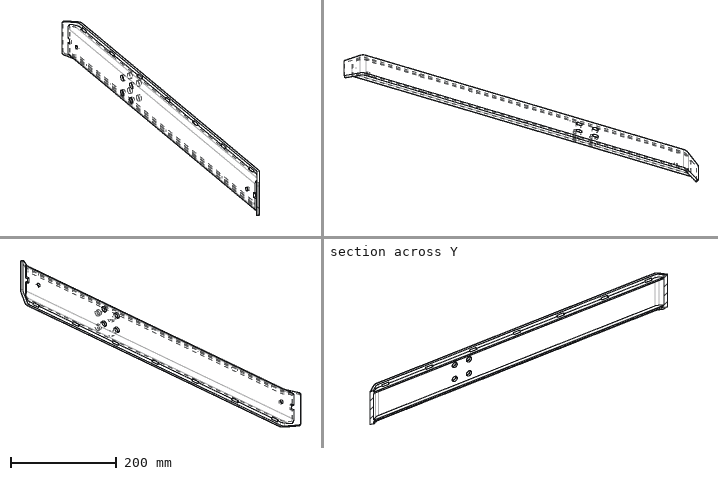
import cadquery as cq
import math

length = 705.0
depth = 25.0
height = 84.0

plate_thickness = 4.85
flap_slope = 2 / 3
bend_inner_radius = 15.0
flap_tip_height = 70.5
flap_corner_radius = 5.0

channel_length = 672.5
channel_height = 70.0
channel_rise = 15.0
channel_wall = 4.0
channel_corner_radius = 8.0
notch_depth = 5.5
notch_height = 10.5

bolt_hole_diameter = 11.0
bolt_spacing = 32.5
bolt_group_x = -125.0
vent_hole_diameter = 7.0
vent_hole_x = 306.0

bead_length = 15.0
bead_leg = 3.0
bead_pitch = 100.0
bead_count = 7

back_y = depth / 2
plate_front_y = back_y - plate_thickness
channel_front_y = plate_front_y - channel_rise
flap_angle = math.atan(flap_slope)
tip_back_x = length / 2
tip_front_y = -depth / 2
tip_back_y = tip_front_y + plate_thickness * math.cos(flap_angle)
tip_front_x = tip_back_x - plate_thickness * math.sin(flap_angle)
bend_back_x = tip_back_x - (back_y - tip_back_y) / flap_slope
bend_front_x = tip_front_x - (plate_front_y - tip_front_y) / flap_slope
tip_middle_x = (tip_back_x + tip_front_x) / 2
tip_middle_y = (tip_back_y + tip_front_y) / 2

match_distance = 0.35


def z_prism(points, prism_height):
    """Prism over an XY outline, centred on Z = 0."""
    return cq.Workplane("XY").polyline(points).close().extrude(prism_height / 2, both=True)


def make_plate():
    """Bent strip whose end flaps lean toward -Y."""
    right_side = [
        (bend_back_x, back_y),
        (tip_back_x, tip_back_y),
        (tip_front_x, tip_front_y),
        (bend_front_x, plate_front_y),
    ]
    left_side = [(-x, y) for x, y in reversed(right_side)]
    plate = z_prism(right_side + left_side, height)

    def bend_edges(x, y):
        edges = plate.edges("|Z").vals()
        return [
            e
            for e in edges
            if math.hypot(abs(e.Center().x) - x, e.Center().y - y) < match_distance
        ]

    inner_bends = bend_edges(bend_front_x, plate_front_y)
    plate = plate.newObject(inner_bends).fillet(bend_inner_radius)
    outer_bends = bend_edges(bend_back_x, back_y)
    plate = plate.newObject(outer_bends).fillet(bend_inner_radius + plate_thickness)

    taper_right = [
        (bend_back_x, height / 2),
        (tip_back_x, flap_tip_height / 2),
        (tip_back_x, -flap_tip_height / 2),
        (bend_back_x, -height / 2),
    ]
    taper_left = [(-x, z) for x, z in reversed(taper_right)]
    outline = cq.Workplane("XZ").polyline(taper_right + taper_left).close().extrude(depth, both=True)
    plate = plate.intersect(outline)
    tip_corners = [
        e
        for e in plate.edges().vals()
        if abs(abs(e.Center().x) - tip_middle_x) < match_distance
        and abs(e.Center().z) > flap_tip_height / 2 - match_distance
    ]
    return plate.newObject(tip_corners).fillet(flap_corner_radius)


def make_channel():
    """Open-backed channel whose ends follow the flaps, with a notch at each end of its face."""
    seat_y = back_y - plate_thickness / 2
    seat_bend_x = (bend_back_x + bend_front_x) / 2

    def channel_block(front_y, rear_y, block_height, radius):
        block = cq.Workplane("XY").box(channel_length, rear_y - front_y, block_height)
        block = block.translate((0, (rear_y + front_y) / 2, 0))
        return block.edges("|X and <Y").fillet(radius)

    outside = channel_block(channel_front_y, seat_y, channel_height, channel_corner_radius)
    inside = channel_block(
        channel_front_y + channel_wall,
        back_y,
        channel_height - 2 * channel_wall,
        channel_corner_radius - channel_wall,
    )
    seat_right = [
        (seat_bend_x, seat_y),
        (tip_middle_x, tip_middle_y),
        (tip_middle_x, tip_front_y),
    ]
    seat_left = [(-x, y) for x, y in reversed(seat_right)]
    seat = z_prism(seat_right + seat_left, height)
    notch = (
        cq.Workplane("XY")
        .pushPoints([(-channel_length / 2, channel_front_y), (channel_length / 2, channel_front_y)])
        .box(2 * notch_depth, 2 * channel_wall, notch_height)
    )
    return outside.cut(inside).intersect(seat).cut(notch)


def make_beads():
    """Triangular beads in the corner between the channel walls and the plate."""
    wall_z = channel_height / 2
    section = [
        (plate_front_y, wall_z),
        (plate_front_y - bead_leg, wall_z),
        (plate_front_y, wall_z + bead_leg),
    ]
    upper = cq.Workplane("YZ").polyline(section).close().extrude(bead_length / 2, both=True)
    lower = upper.mirror("XY")
    first_x = -(bead_count - 1) / 2 * bead_pitch
    beads = []
    for i in range(bead_count):
        shift = (first_x + i * bead_pitch, 0, 0)
        beads += [upper.translate(shift), lower.translate(shift)]
    return beads


def front_drill(points, diameter, drill_depth):
    """Cylinders that start at the channel face and run toward +Y."""
    return (
        cq.Workplane("XZ", origin=(0, channel_front_y, 0))
        .pushPoints(points)
        .circle(diameter / 2)
        .extrude(-drill_depth)
    )


half_bolt = bolt_spacing / 2
bolt_points = [(bolt_group_x + i * half_bolt, k * half_bolt) for i in (-1, 1) for k in (-1, 1)]
vent_points = [(-vent_hole_x, 0), (vent_hole_x, 0)]

result = make_plate().union(make_channel())
for bead in make_beads():
    result = result.union(bead)
result = result.cut(front_drill(bolt_points, bolt_hole_diameter, depth))
result = result.cut(front_drill(vent_points, vent_hole_diameter, channel_wall))